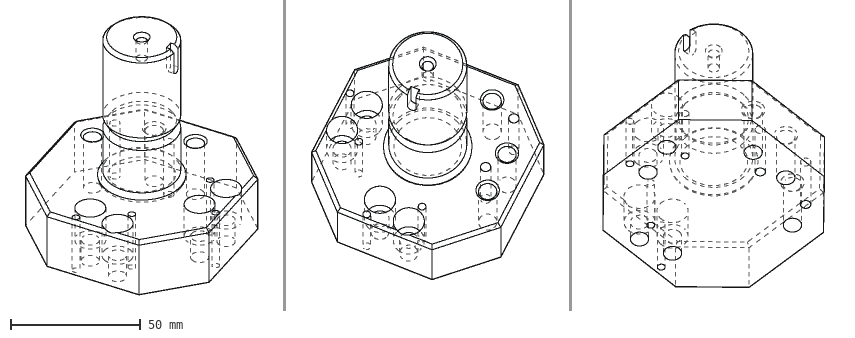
import cadquery as cq
import math

base_width = 80.0
base_height = 25.0
corner_cut = 20.0
edge_chamfer = 1.5

total_height = 90.0
shank_radius = 15.0
groove_height = 50.0
groove_half_width = 3.0
groove_flank_angle = 30.0
undercut_radius = 2.0

centre_mouth_diameter = 6.4
centre_drill_diameter = 4.3
centre_countersink_angle = 60.0
centre_drill_depth = 10.0
drill_point_angle = 118.0

keyway_width = 3.5
keyway_floor_x = 11.7
keyway_length = 12.0

bolt_diameter = 7.0
bolt_countersink_diameter = 9.0
bolt_positions = [(-10.0, 29.0), (8.0, 29.0), (-29.0, 14.0)]

screw_diameter = 7.0
screw_head_diameter = 12.0
screw_head_depth = 15.0
screw_pair = [(33.0, 7.0), (29.0, -7.0)]

large_pin_diameter = 4.0
large_pin_positions = [(-25.0, 25.0), (-1.0, 24.0)]

small_pin_diameter = 3.0
small_pin_pair = [(25.0, 9.0), (37.0, -9.0)]


def with_quarter_turn(points):
    """The points together with their copies turned 90 degrees clockwise about Z."""
    return points + [(y, -x) for x, y in points]


def make_base():
    plate = cq.Workplane("XY").box(base_width, base_width, base_height, centered=(True, True, False))
    plate = plate.edges("|Z").chamfer(corner_cut)
    return plate.faces(">Z").edges().chamfer(edge_chamfer)


def make_shank():
    groove_depth = groove_half_width * math.tan(math.radians(groove_flank_angle))
    profile = [
        (0, base_height),
        (shank_radius, base_height),
        (shank_radius, groove_height - groove_half_width),
        (shank_radius - groove_depth, groove_height),
        (shank_radius, groove_height + groove_half_width),
        (shank_radius, total_height - edge_chamfer),
        (shank_radius - edge_chamfer, total_height),
        (0, total_height),
    ]
    return cq.Workplane("XZ").polyline(profile).close().revolve(360, (0, 0), (0, 1))


def make_undercut():
    """Ring of round section centred on the corner between shank and base."""
    section = cq.Workplane("XZ").center(shank_radius, base_height).circle(undercut_radius)
    return section.revolve(360, (-shank_radius, 0), (-shank_radius, 1))


def make_centre_hole():
    mouth_radius = centre_mouth_diameter / 2
    drill_radius = centre_drill_diameter / 2
    mouth_depth = (mouth_radius - drill_radius) / math.tan(math.radians(centre_countersink_angle / 2))
    point_depth = drill_radius / math.tan(math.radians(drill_point_angle / 2))
    profile = [
        (0, total_height),
        (mouth_radius, total_height),
        (drill_radius, total_height - mouth_depth),
        (drill_radius, total_height - centre_drill_depth),
        (0, total_height - centre_drill_depth - point_depth),
    ]
    return cq.Workplane("XZ").polyline(profile).close().revolve(360, (0, 0), (0, 1))


def make_keyway():
    """Slot open at the top, with a rounded lower end about an X axis."""
    half_width = keyway_width / 2
    round_centre = total_height - keyway_length + half_width
    return (
        cq.Workplane("YZ", origin=(keyway_floor_x, 0, 0))
        .moveTo(-half_width, total_height)
        .lineTo(-half_width, round_centre)
        .threePointArc((0, total_height - keyway_length), (half_width, round_centre))
        .lineTo(half_width, total_height)
        .close()
        .extrude(shank_radius)
    )


def drill_base(body):
    top = cq.Workplane("XY", origin=(0, 0, base_height))
    for points, diameter in [
        (bolt_positions, bolt_diameter),
        (with_quarter_turn(screw_pair), screw_diameter),
        (large_pin_positions, large_pin_diameter),
        (with_quarter_turn(small_pin_pair), small_pin_diameter),
    ]:
        body = body.cut(top.pushPoints(points).circle(diameter / 2).extrude(-base_height))

    heads = top.pushPoints(with_quarter_turn(screw_pair)).circle(screw_head_diameter / 2)
    body = body.cut(heads.extrude(-screw_head_depth))

    cone_radius = bolt_countersink_diameter / 2
    cone = cq.Solid.makeCone(cone_radius, 0, cone_radius, dir=cq.Vector(0, 0, -1))
    for x, y in bolt_positions:
        body = body.cut(cq.Workplane(cone.translate(cq.Vector(x, y, base_height))))
    return body


body = make_base().union(make_shank())
body = body.cut(make_undercut()).cut(make_centre_hole()).cut(make_keyway())
result = drill_base(body)